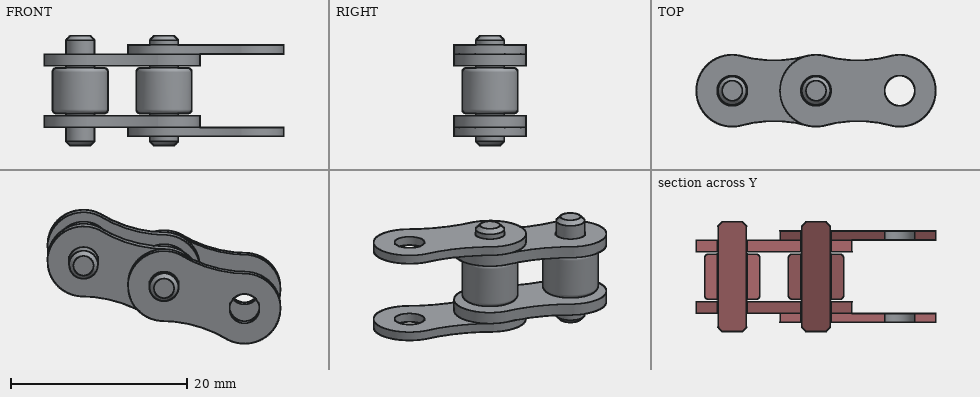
import cadquery as cq
import math

chain_length = 27.22
plate_width = 8.2
end_radius = plate_width / 2
pitch = (chain_length - plate_width) / 2
pin_length = 12.5

waist_half_width = 3.45
waist_start = 0.7
inner_gap = 5.65
inner_thickness = 1.33
outer_thickness = 1.03

pin_diameter = 3.27
hole_diameter = 3.4
roller_diameter = 6.35
roller_length = 5.2
edge_size = 0.5

left_x = -pitch
middle_x = 0.0
pin_positions = (left_x, middle_x)

inner_plate_bottom = inner_gap / 2
outer_plate_bottom = inner_plate_bottom + inner_thickness


def make_plate(first_hole_x, bottom_z, thickness):
    """Waisted plate with two holes, one pitch apart."""
    half_pitch = pitch / 2
    join_x = half_pitch - waist_start
    join_y = math.sqrt(end_radius**2 - waist_start**2)
    tip_x = half_pitch + end_radius
    plate = (
        cq.Workplane("XY")
        .moveTo(-join_x, join_y)
        .threePointArc((0, waist_half_width), (join_x, join_y))
        .threePointArc((tip_x, 0), (join_x, -join_y))
        .threePointArc((0, -waist_half_width), (-join_x, -join_y))
        .threePointArc((-tip_x, 0), (-join_x, join_y))
        .close()
        .extrude(thickness)
    )
    holes = (
        cq.Workplane("XY")
        .pushPoints([(-half_pitch, 0), (half_pitch, 0)])
        .circle(hole_diameter / 2)
        .extrude(thickness)
    )
    return plate.cut(holes).translate((first_hole_x + half_pitch, 0, bottom_z))


def make_plate_pair(first_hole_x, bottom_z, thickness):
    """Upper plate and its mirror image below Z = 0."""
    upper_plate = make_plate(first_hole_x, bottom_z, thickness)
    return [upper_plate, upper_plate.mirror("XY")]


def make_pin(x):
    """Plain pin with both tips chamfered."""
    return (
        cq.Workplane("XY")
        .cylinder(pin_length, pin_diameter / 2)
        .faces("<Z or >Z")
        .chamfer(edge_size)
        .translate((x, 0, 0))
    )


def make_roller(x):
    """Hollow roller with rounded outer edges."""
    body = (
        cq.Workplane("XY")
        .cylinder(roller_length, roller_diameter / 2)
        .faces("<Z or >Z")
        .fillet(edge_size)
    )
    bore = cq.Workplane("XY").cylinder(roller_length, hole_diameter / 2)
    return body.cut(bore).translate((x, 0, 0))


inner_plates = make_plate_pair(left_x, inner_plate_bottom, inner_thickness)
outer_plates = make_plate_pair(middle_x, outer_plate_bottom, outer_thickness)
pins = [make_pin(x) for x in pin_positions]
rollers = [make_roller(x) for x in pin_positions]

bodies = inner_plates + outer_plates + pins + rollers
result = cq.Compound.makeCompound([body.val() for body in bodies])